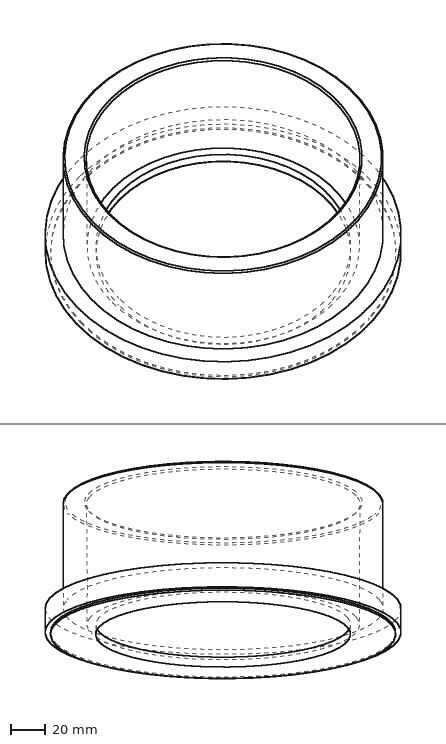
import cadquery as cq

sealing_face_height = 1.2
flange_top = 15.8
ledge_height = 6.0
body_top = 80.45

flange_diameter = 209.1
sealing_face_diameter = 202.8
body_diameter = 188.0
socket_mouth_diameter = 160.8
socket_root_diameter = 160.0
bore_diameter = 149.6

rim_chamfer = 1.0
mouth_chamfer = 1.2


def disc(diameter, bottom, top):
    """Solid cylinder about Z between two heights."""
    return cq.Workplane("XY").workplane(offset=bottom).circle(diameter / 2).extrude(top - bottom)


def cone(bottom_diameter, top_diameter, bottom, top):
    """Solid frustum about Z between two heights."""
    return (
        cq.Workplane("XY")
        .workplane(offset=bottom)
        .circle(bottom_diameter / 2)
        .workplane(offset=top - bottom)
        .circle(top_diameter / 2)
        .loft()
    )


def outer_form():
    """Raised sealing face, flange and chamfered body."""
    sealing_face = disc(sealing_face_diameter, 0, sealing_face_height)
    flange = disc(flange_diameter, sealing_face_height, flange_top)
    body = disc(body_diameter, 0, body_top).faces(">Z").edges().chamfer(rim_chamfer)
    return sealing_face.union(flange).union(body)


def hollow():
    """Through bore opening into the tapered pipe socket, with a chamfered mouth."""
    mouth_bottom = body_top - mouth_chamfer
    rim_diameter = socket_mouth_diameter + 2 * mouth_chamfer
    bore = disc(bore_diameter, 0, body_top)
    socket = cone(socket_root_diameter, socket_mouth_diameter, ledge_height, mouth_bottom)
    mouth = cone(socket_mouth_diameter, rim_diameter, mouth_bottom, body_top)
    return bore.union(socket).union(mouth)


result = outer_form().cut(hollow())